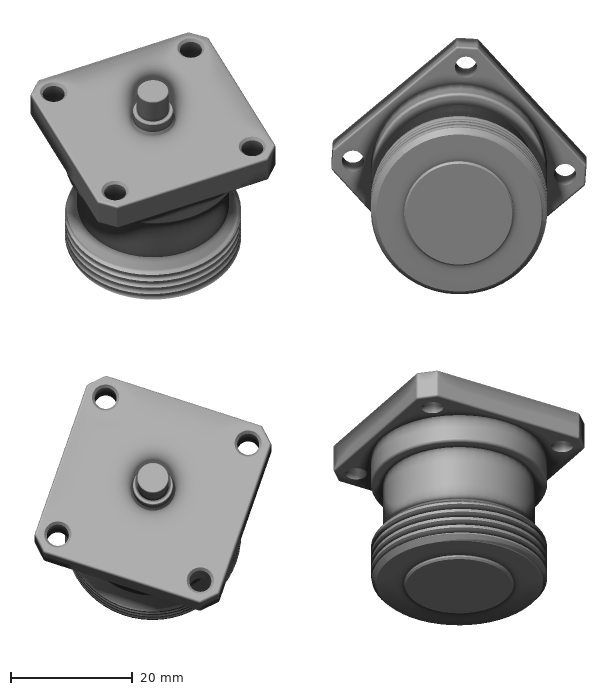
import cadquery as cq

overall_height = 35.8
thread_bottom = 0.6
body_bottom = 9.45
collar_bottom = 19.15
flange_bottom = 24.1
flange_top = 29.1
ferrule_bottom = 29.5
ferrule_top = 31.25

flange_width = 32.0
corner_cut = 2.47
corner_blend = 0.5
flange_edge_radius = 0.35

hole_diameter = 3.6
countersink_diameter = 4.48
countersink_angle = 90.0
hole_pitch = 24.7

collar_radius = 14.5
collar_edge_radius = 0.5
body_radius = 12.53
thread_chamfer = 0.9

thread_radius = collar_radius
thread_pitch = 1.5
thread_depth = 0.95
groove_width = 1.0
groove_start = -1.1
groove_turns = 7
groove_overcut = 0.15

disc_radius = 9.02
disc_chamfer = 0.3

pin_radius = 2.58
ferrule_radius = 3.3
ferrule_foot_radius = 3.7
ferrule_chamfer = 0.1


def cylinder(radius, bottom, top):
    """Cylinder on the Z axis between two heights."""
    return cq.Workplane("XY", origin=(0, 0, bottom)).circle(radius).extrude(top - bottom)


def flange():
    """Square plate with cut corners and rounded edges, drilled at its four corners."""
    plate = (
        cq.Workplane("XY", origin=(0, 0, flange_bottom))
        .rect(flange_width, flange_width)
        .extrude(flange_top - flange_bottom)
        .edges("|Z")
        .chamfer(corner_cut)
        .edges("|Z")
        .fillet(corner_blend)
        .faces("<Z or >Z")
        .edges()
        .fillet(flange_edge_radius)
    )
    return (
        plate.faces(">Z")
        .workplane(origin=(0, 0, flange_top))
        .rect(hole_pitch, hole_pitch, forConstruction=True)
        .vertices()
        .cskHole(hole_diameter, countersink_diameter, countersink_angle)
    )


def shell():
    """Body with a flared, chamfered sleeve that carries the thread."""
    flare_bottom = body_bottom - (thread_radius - body_radius)
    profile = [
        (0, thread_bottom),
        (thread_radius - thread_chamfer, thread_bottom),
        (thread_radius, thread_bottom + thread_chamfer),
        (thread_radius, flare_bottom),
        (body_radius, body_bottom),
        (body_radius, flange_bottom),
        (0, flange_bottom),
    ]
    return cq.Workplane("XZ").polyline(profile).close().revolve(360, (0, 0), (0, 1))


def groove_turn():
    """Lowest turn of the helical V groove, widened slightly past the thread crest."""
    root_radius = thread_radius - thread_depth
    outer_radius = thread_radius + groove_overcut
    half_width = groove_width / 2 * (thread_depth + groove_overcut) / thread_depth
    helix = cq.Wire.makeHelix(thread_pitch, thread_pitch, root_radius, cq.Vector(0, 0, groove_start))
    profile = [
        (root_radius, groove_start),
        (outer_radius, groove_start + half_width),
        (outer_radius, groove_start - half_width),
    ]
    return cq.Workplane("XZ").polyline(profile).close().sweep(cq.Workplane(helix), isFrenet=True)


def threaded_shell():
    """Shell with a right-hand groove that runs out through the flare and the bottom face."""
    threaded = shell()
    turn = groove_turn()
    for index in range(groove_turns):
        threaded = threaded.cut(turn.translate((0, 0, index * thread_pitch)))
    return threaded


def collar():
    """Round shoulder under the flange with a rounded lower rim."""
    blank = cylinder(collar_radius, collar_bottom, flange_bottom)
    return blank.faces("<Z").edges().fillet(collar_edge_radius)


def disc():
    """Low disc with a chamfered rim at the bottom end."""
    return cylinder(disc_radius, 0, thread_bottom).faces("<Z").chamfer(disc_chamfer)


def ferrule():
    """Stepped pin on a short conical foot."""
    profile = [
        (0, flange_top),
        (ferrule_foot_radius, flange_top),
        (ferrule_radius, ferrule_bottom),
        (ferrule_radius, ferrule_top - ferrule_chamfer),
        (ferrule_radius - ferrule_chamfer, ferrule_top),
        (pin_radius, ferrule_top),
        (pin_radius, overall_height - ferrule_chamfer),
        (pin_radius - ferrule_chamfer, overall_height),
        (0, overall_height),
    ]
    return cq.Workplane("XZ").polyline(profile).close().revolve(360, (0, 0), (0, 1))


result = threaded_shell().union(disc()).union(collar()).union(flange()).union(ferrule())